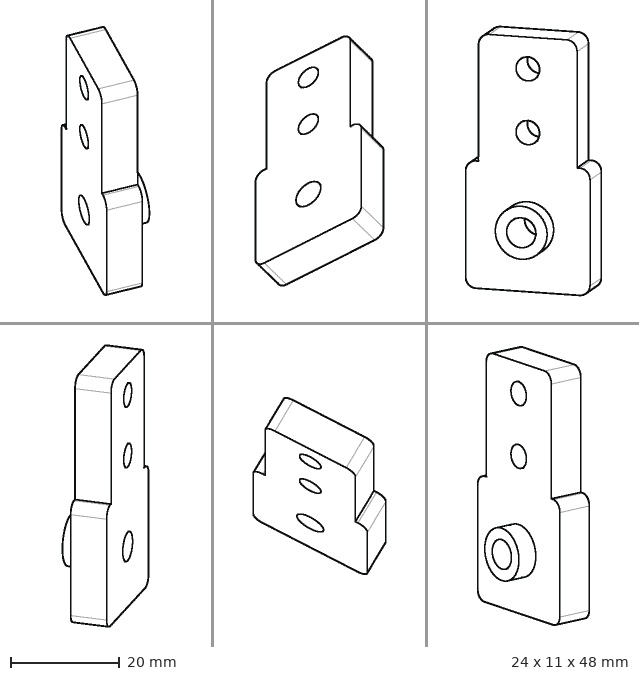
import cadquery as cq

height = 48.0
base_width = 24.0
base_height = height / 2
neck_width = 19.0
total_depth = 11.0
boss_length = 4.0
plate_thickness = total_depth - boss_length
corner_radius = 2.0

boss_diameter = 10.0
bore_diameter = 5.6
boss_z = base_height / 2

neck_hole_diameter = 4.5
top_hole_margin = 6.0
neck_hole_spacing = 12.0


def rounded_block(width, bottom, top, rounded_edges):
    """Block from the front face (Y = 0) to the back face, with rounded corners."""
    return (
        cq.Workplane("XY")
        .box(width, plate_thickness, top - bottom, centered=(True, False, False))
        .translate((0, 0, bottom))
        .edges(rounded_edges)
        .fillet(corner_radius)
    )


def cylinder_along_y(diameter, z, start, length):
    """Cylinder on the centre line at height z, running toward +Y."""
    center = cq.Vector(0, start, z)
    return cq.Workplane(cq.Solid.makeCylinder(diameter / 2, length, center, cq.Vector(0, 1, 0)))


base = rounded_block(base_width, 0, base_height, "|Y")
neck = rounded_block(neck_width, boss_z, height, "|Y and (>Z)")
boss = cylinder_along_y(boss_diameter, boss_z, plate_thickness, boss_length)
result = base.union(neck).union(boss)

top_hole_z = height - top_hole_margin
holes = [
    (bore_diameter, boss_z),
    (neck_hole_diameter, top_hole_z - neck_hole_spacing),
    (neck_hole_diameter, top_hole_z),
]
for diameter, z in holes:
    result = result.cut(cylinder_along_y(diameter, z, 0, total_depth))